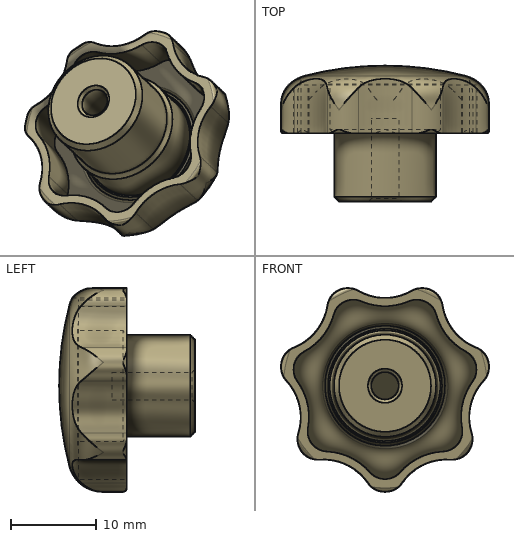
import cadquery as cq
import math

LOBES = 7
OUTER_RADIUS = 12.5
HEAD_HEIGHT = 7.99
TIP_RADIUS = 2.45
VALLEY_DISTANCE = 10.35
RIM_ROUND = 0.51

DOME_RADIUS = 9.4
DOME_RISE = 1.2

WALL = 0.98
POCKET_TIP_DISTANCE = 10.98
POCKET_TIP_RADIUS = 2.4
POCKET_DEPTH = 5.73

HUB_RADIUS = 12 / 2
HUB_LENGTH = 8.0
HUB_CHAMFER = 0.6
COLLAR_RADIUS = 13.0 / 2
COLLAR_CHAMFER = COLLAR_RADIUS - HUB_RADIUS

GROOVE_INNER_RADIUS = 6.71
GROOVE_BOTTOM_RADIUS = 7.05
GROOVE_OUTER_RADIUS = 7.37
GROOVE_DEPTH = 0.1

BORE_RADIUS = 3.23 / 2
BORE_CHAMFER = 0.4
BORE_DEPTH = 9.8

HALF_PITCH = math.pi / LOBES


def polar(radius, angle):
    """Point at a radius and an angle in radians."""
    return (radius * math.cos(angle), radius * math.sin(angle))


def valley_circle():
    """Centre distance and radius of the scallop circle tangent to two neighbouring tip circles."""
    tip_center = OUTER_RADIUS - TIP_RADIUS
    gap = VALLEY_DISTANCE - TIP_RADIUS
    center = (tip_center**2 - gap**2) / (2 * (tip_center * math.cos(HALF_PITCH) - gap))
    return center, center - VALLEY_DISTANCE


def lobed_prism(tip_distance, tip_radius, valley_center, valley_radius, height):
    """Prism with round lobes joined by scallops, rising from the rim face towards +Y."""
    tip_center = tip_distance - tip_radius
    share = tip_radius / (tip_radius + valley_radius)
    valley_x, valley_y = polar(valley_center, HALF_PITCH)
    joint_x = tip_center + share * (valley_x - tip_center)
    joint_y = share * valley_y
    joint_radius = math.hypot(joint_x, joint_y)
    joint_angle = math.atan2(joint_y, joint_x)
    first_lobe = math.pi / 2

    outline = cq.Workplane("XZ").moveTo(*polar(joint_radius, -first_lobe - joint_angle))
    for index in range(LOBES):
        lobe = 2 * HALF_PITCH * index - first_lobe
        valley = lobe + HALF_PITCH
        next_lobe = valley + HALF_PITCH
        outline = outline.threePointArc(polar(tip_distance, lobe), polar(joint_radius, lobe + joint_angle))
        outline = outline.threePointArc(
            polar(valley_center - valley_radius, valley),
            polar(joint_radius, next_lobe - joint_angle),
        )
    return outline.close().extrude(-height)


def turned_head():
    """Domed disc whose shoulder arc is tangent to the dome and to the outer cylinder."""
    edge_slope = 2 * math.atan(DOME_RISE / DOME_RADIUS)
    sphere_radius = DOME_RADIUS / math.sin(edge_slope)
    dome_middle = sphere_radius * math.sin(edge_slope / 2)
    dome_middle_y = HEAD_HEIGHT - sphere_radius * (1 - math.cos(edge_slope / 2))
    shoulder_radius = (OUTER_RADIUS - DOME_RADIUS) / (1 - math.sin(edge_slope))
    dome_edge_y = HEAD_HEIGHT - DOME_RISE
    shoulder_y = dome_edge_y - shoulder_radius * math.cos(edge_slope)
    middle_angle = (math.pi / 2 - edge_slope) / 2
    shoulder_x, shoulder_rise = polar(shoulder_radius, middle_angle)
    shoulder_middle = (OUTER_RADIUS - shoulder_radius + shoulder_x, shoulder_y + shoulder_rise)
    return (
        cq.Workplane("XY")
        .lineTo(OUTER_RADIUS - RIM_ROUND, 0)
        .radiusArc((OUTER_RADIUS, RIM_ROUND), -RIM_ROUND)
        .lineTo(OUTER_RADIUS, shoulder_y)
        .threePointArc(shoulder_middle, (DOME_RADIUS, dome_edge_y))
        .threePointArc((dome_middle, dome_middle_y), (0, HEAD_HEIGHT))
        .close()
        .revolve(360, (0, 0), (0, 1))
    )


def hub():
    """Turned hub with a chamfered end and a wider collar that starts level with the rim face."""
    points = [
        (0, -HUB_LENGTH),
        (HUB_RADIUS - HUB_CHAMFER, -HUB_LENGTH),
        (HUB_RADIUS, HUB_CHAMFER - HUB_LENGTH),
        (HUB_RADIUS, 0),
        (COLLAR_RADIUS, COLLAR_CHAMFER),
        (COLLAR_RADIUS, POCKET_DEPTH),
        (0, POCKET_DEPTH),
    ]
    return cq.Workplane("XY").polyline(points).close().revolve(360, (0, 0), (0, 1))


def floor_groove():
    """Ring with a curved inner flank that levels out at its bottom and a straight outer flank."""
    bottom_y = POCKET_DEPTH + GROOVE_DEPTH
    inner_width = GROOVE_BOTTOM_RADIUS - GROOVE_INNER_RADIUS
    flank_radius = (inner_width**2 + GROOVE_DEPTH**2) / (2 * GROOVE_DEPTH)
    return (
        cq.Workplane("XY")
        .moveTo(GROOVE_INNER_RADIUS, POCKET_DEPTH)
        .radiusArc((GROOVE_BOTTOM_RADIUS, bottom_y), flank_radius)
        .lineTo(GROOVE_OUTER_RADIUS, POCKET_DEPTH)
        .close()
        .revolve(360, (0, 0), (0, 1))
    )


def bore():
    """Blind bore with a countersunk mouth in the hub end."""
    points = [
        (0, -HUB_LENGTH),
        (BORE_RADIUS + BORE_CHAMFER, -HUB_LENGTH),
        (BORE_RADIUS, BORE_CHAMFER - HUB_LENGTH),
        (BORE_RADIUS, BORE_DEPTH - HUB_LENGTH),
        (0, BORE_DEPTH - HUB_LENGTH),
    ]
    return cq.Workplane("XY").polyline(points).close().revolve(360, (0, 0), (0, 1))


valley_center, valley_radius = valley_circle()
grip = lobed_prism(OUTER_RADIUS, TIP_RADIUS, valley_center, valley_radius, HEAD_HEIGHT)
pocket = lobed_prism(
    POCKET_TIP_DISTANCE, POCKET_TIP_RADIUS, valley_center, valley_radius + WALL, POCKET_DEPTH
)
result = turned_head().intersect(grip).cut(pocket).cut(floor_groove()).union(hub()).cut(bore())